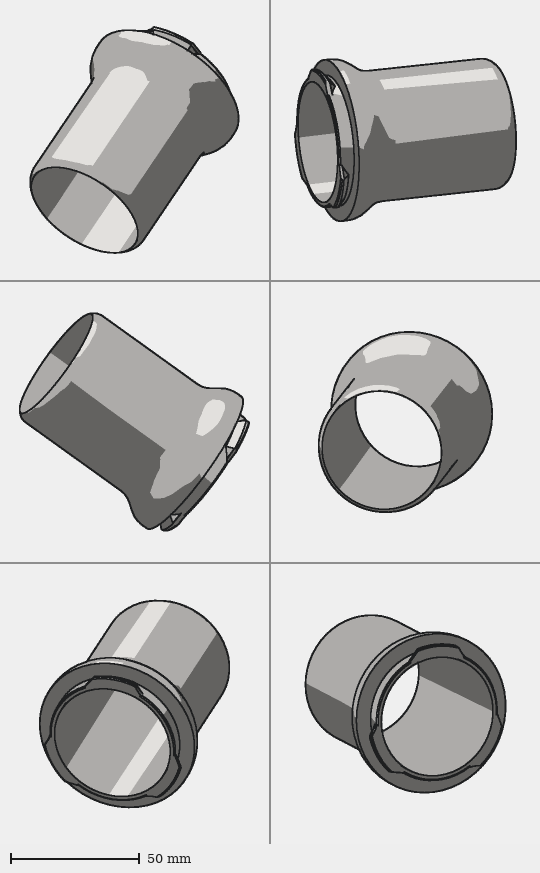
import cadquery as cq
import math

length = 73.25
tube_radius = 51.0 / 2
bore_radius = 47.0 / 2
tip_radius = 24.0
tip_round_length = 3.8
tip_bevel_length = 0.45
mouth_chamfer = 0.5

collar_radius = 63.0 / 2
collar_setback = 6.1
collar_rim = 2.1
flare_length = 15.0

lug_count = 3
lug_spacing = 360.0 / lug_count
lug_radius = 28.4
lug_height = lug_radius - tube_radius
lug_pitch_angle = 2.0
lug_rim = 1.5
lug_half_crest = 7.6
lug_half_base = 7.1
lug_deep_end = 4.6
lug_shallow_end = 4.1
lug_stop_x = -11.7
lug_stop_depth = 2.0
lug_stop_inner_x = -10.1
lug_tail_x = 11.35
lug_tail_depth = 0.95
lug_tail_inner_x = 9.8
lug_tail_inner_depth = 1.3
lug_base_z = 24.5
lug_root_z = 22.35
lug_corner_slope = 0.7
lug_step = (-9.5, 25.8)
embed = 0.7


def height_on_circle(radius, x):
    return math.sqrt(radius**2 - x**2)


def make_body():
    """Tube with rounded tip and ogee flared collar, revolved about Y."""
    collar_face = length - collar_setback
    flare_top = collar_face - collar_rim
    flare_base = flare_top - flare_length
    return (
        cq.Workplane("XY")
        .moveTo(bore_radius, 0)
        .lineTo(tip_radius, tip_bevel_length)
        .spline([(tube_radius, tip_round_length)], tangents=[(1, 1), (0, 1)], includeCurrent=True)
        .lineTo(tube_radius, flare_base)
        .spline([(collar_radius, flare_top)], tangents=[(0, 1), (0, 1)], includeCurrent=True)
        .lineTo(collar_radius, collar_face)
        .lineTo(tube_radius, collar_face)
        .lineTo(tube_radius, length - mouth_chamfer)
        .lineTo(tube_radius - mouth_chamfer, length)
        .lineTo(bore_radius, length)
        .close()
        .revolve(360, (0, 0, 0), (0, 1, 0))
    )


def make_lug_ring():
    """Ring with a 45 degree underside, tilted so that the underside climbs along the lug."""
    inner = tube_radius - embed
    underside = length - lug_rim
    return (
        cq.Workplane("XY")
        .moveTo(inner, length + lug_height)
        .lineTo(lug_radius, length + lug_height)
        .lineTo(lug_radius, underside)
        .lineTo(inner, underside - lug_height - embed)
        .close()
        .revolve(360, (0, 0, 0), (0, 1, 0))
        .rotate((0, length, 0), (0, length, 1), lug_pitch_angle)
    )


def make_lug_plan():
    """Lug seen along the tube: an arc crest, a rounded stop end and a sloping tail."""
    crest_z = height_on_circle(lug_radius, lug_half_crest)
    stop_z = height_on_circle(tube_radius, lug_stop_x)
    tail_z = height_on_circle(tube_radius, lug_tail_x)
    inner = tube_radius - embed
    root_scale = inner / tube_radius
    return (
        cq.Workplane("XZ")
        .moveTo(lug_half_crest, crest_z)
        .threePointArc((0, lug_radius), (-lug_half_crest, crest_z))
        .tangentArcPoint(lug_step, relative=False)
        .tangentArcPoint((lug_stop_x, stop_z), relative=False)
        .lineTo(lug_stop_x * root_scale, stop_z * root_scale)
        .threePointArc((0, inner), (lug_tail_x * root_scale, tail_z * root_scale))
        .lineTo(lug_tail_x, tail_z)
        .close()
        .extrude(-length)
    )


def lug_outline_points(z):
    """Outline of the lug at height Z: the sloped corners close in as Z rises."""
    inset = (z - lug_base_z) * lug_corner_slope
    depths = [
        (lug_stop_x, 0),
        (lug_stop_x, lug_stop_depth),
        (lug_stop_inner_x + inset, lug_stop_depth),
        (inset - lug_half_base, lug_deep_end),
        (lug_half_base - inset, lug_shallow_end),
        (lug_tail_inner_x - inset, lug_tail_inner_depth),
        (lug_tail_x, lug_tail_depth),
        (lug_tail_x, 0),
    ]
    return [(x, length - depth) for x, depth in depths]


def make_lug_outline():
    """Lug seen from outside the tube: slanted end faces and a slightly inclined lower edge."""
    return (
        cq.Workplane("XY", origin=(0, 0, lug_root_z))
        .polyline(lug_outline_points(lug_root_z))
        .close()
        .workplane(offset=lug_radius - lug_root_z)
        .polyline(lug_outline_points(lug_radius))
        .close()
        .loft(ruled=True)
    )


def make_lug():
    mouth_bevel = (
        cq.Workplane("XZ", origin=(0, length, 0))
        .circle(lug_radius)
        .extrude(length)
        .faces(">Y")
        .chamfer(mouth_chamfer)
    )
    return make_lug_ring().intersect(make_lug_plan()).intersect(make_lug_outline()).intersect(mouth_bevel)


result = make_body()
lug = make_lug()
for index in range(lug_count):
    result = result.union(lug.rotate((0, 0, 0), (0, 1, 0), index * lug_spacing))